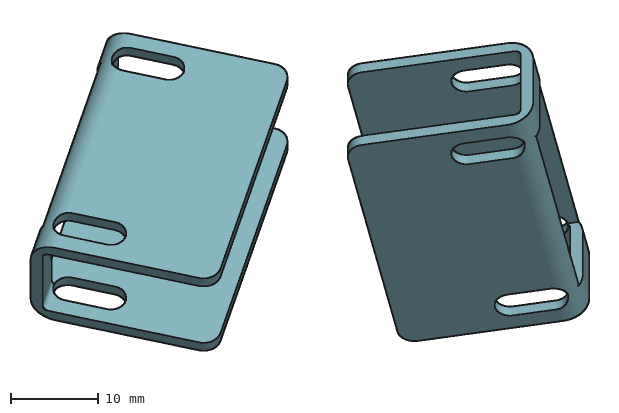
import cadquery as cq

depth = 22.0
width = 33.0
height = 13.0

wall = 1.45
bend_outer_radius = 3.0
bend_inner_radius = 0.75
flange_corner_radius = 2.0

window_width = 25.15

slot_length = 8.5
slot_width = 3.45
slot_start = 1.75
slot_edge_distance = 3.75

inner_height = height - 2 * wall


def channel():
    """U-shaped channel, open toward +X, with rounded bends along Y."""
    outer = (
        cq.Workplane("XY")
        .box(depth, width, height, centered=(False, True, True))
        .edges("|Y and <X")
        .fillet(bend_outer_radius)
    )
    inner = (
        cq.Workplane("XY")
        .box(depth, width, inner_height, centered=(False, True, True))
        .edges("|Y and <X")
        .fillet(bend_inner_radius)
        .translate((wall, 0, 0))
    )
    return outer.cut(inner).edges("|Z and >X").fillet(flange_corner_radius)


def web_window():
    """Rectangular opening through the web and its inner bends."""
    window_depth = bend_outer_radius
    return cq.Workplane("XY").box(
        window_depth, window_width, inner_height, centered=(False, True, True)
    )


def flange_slots():
    """Pair of slots along X, passing through both flanges."""
    slot_x = slot_start + slot_length / 2
    slot_y = width / 2 - slot_edge_distance
    return (
        cq.Workplane("XY")
        .pushPoints([(slot_x, slot_y), (slot_x, -slot_y)])
        .slot2D(slot_length, slot_width)
        .extrude(height, both=True)
    )


result = channel().cut(web_window()).cut(flange_slots())